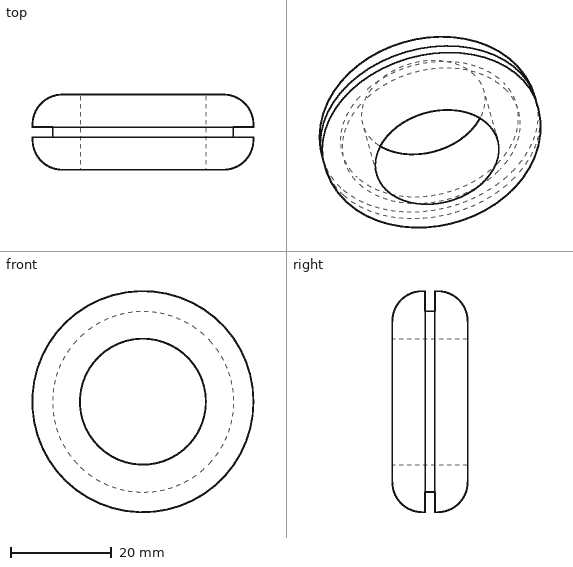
import cadquery as cq

outer_diameter = 44.0
bore_diameter = 25.0
groove_diameter = 36.0
width = 15.0
groove_width = 2.0
rim_radius = 6.0


def disc(diameter, length):
    """Solid cylinder along Y, centred on the origin."""
    return cq.Workplane("XZ", origin=(0, length / 2, 0)).circle(diameter / 2).extrude(length)


body = disc(outer_diameter, width).edges().fillet(rim_radius)

groove = disc(outer_diameter, groove_width).cut(disc(groove_diameter, groove_width))

bore = disc(bore_diameter, width)

result = body.cut(groove).cut(bore)